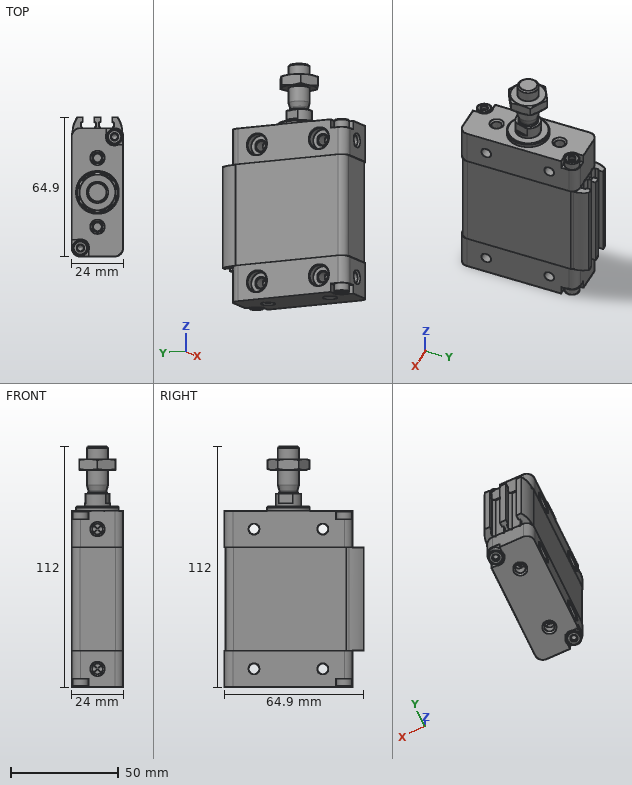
import cadquery as cq
import math


width = 24.0
cover_length = 59.8
cover_height = 17.0
barrel_height = 48.0
cover_corner = 4.0
barrel_inset = 0.6
barrel_corner = 3.7

rail_top = 35.0
rail_foot_half_width = 11.6
rail_foot_top = 28.0
rail_foot_bottom = 27.0
rail_crown_half_width = 9.3
rail_bulge_x = 11.0
rail_bulge_y = 31.8
lip_bottom = 32.8
lip_undercut = 0.8
lip_bevel = 0.5
slot_inner_x = 1.6
slot_outer_x = 6.8
slot_root_bevel = 1.3

hole_spacing = 32.0
hole_diameter = 4.9
counterbore_diameter = 9.7
counterbore_depth = 4.0
counterbore_bevel = 0.39
through_hole_bevel = 0.5
entry_diameter = 6.7
end_hole_overrun = 0.7
end_hole_floor_diameter = 4.0

screw_head_diameter = 7.2
screw_head_height = 4.0
screw_head_bevel = 0.6
screw_socket_diameter = 3.0
screw_socket_bevel = 0.28
screw_socket_depth = 2.0
screw_socket_point = 1.0
pocket_side = 7.8
pocket_diameter = 8.2

guide_diameter = 20.0
guide_height = 2.0
guide_bevel = 0.6

total_height = 112.0
rod_diameter = 12.0
thread_diameter = 10.0
thread_bevel = 0.8
taper_end_diameter = 8.6
neck_diameter = 8.5
shoulder_diameter = 9.4
shoulder_z = 90.0
neck_bottom_z = 90.7
neck_top_z = 91.3
taper_end_z = 91.7
thread_bottom_z = 94.1
flat_width = 10.0
flat_bottom_z = 85.6
flat_angle = -15.0

nut_width = 17.0
nut_height = 5.2
nut_bottom_z = 101.0
nut_bevel_diameter = 16.6
nut_bevel_angle = 20.0
nut_sides = 6

half_width = width / 2
half_length = cover_length / 2
barrel_end = half_length - barrel_inset
barrel_bottom_z = cover_height
barrel_top_z = barrel_bottom_z + barrel_height
hole_positions = (-hole_spacing / 2, hole_spacing / 2)
hole_radius = hole_diameter / 2
rod_radius = rod_diameter / 2


def cylinder(diameter, height, x=0, y=0, z=0):
    return cq.Workplane("XY", origin=(x, y, z)).circle(diameter / 2).extrude(height)


def tapered_hole(diameter, mouth_diameter, depth):
    """Cutter for a hole that starts at the origin and runs along -Z, with a 45 degree mouth."""
    radius = diameter / 2
    mouth = mouth_diameter / 2
    profile = [(0, 0), (mouth, 0), (radius, radius - mouth), (radius, -depth), (0, -depth)]
    return cq.Workplane("XZ").polyline(profile).close().revolve(360, (0, 0), (0, 1))


def mounting_hole(y):
    """Through hole along X at half the cover height, counterbored from the -X side."""
    counterbore = tapered_hole(
        counterbore_diameter, counterbore_diameter + 2 * counterbore_bevel, counterbore_depth
    )
    through = tapered_hole(
        hole_diameter, hole_diameter + 2 * through_hole_bevel, width - counterbore_depth
    ).translate((0, 0, -counterbore_depth))
    cutter = counterbore.union(through).rotate((0, 0, 0), (0, 1, 0), -90)
    return cutter.translate((-half_width, y, cover_height / 2))


def end_hole(y):
    """Hole from the end face that crosses a mounting hole and stops just past it."""
    depth = cover_height / 2 + hole_radius + end_hole_overrun
    hole = tapered_hole(hole_diameter, entry_diameter, depth)
    floor_bevel = (hole_diameter - end_hole_floor_diameter) / 2
    hole = hole.faces("<Z").chamfer(floor_bevel)
    return hole.translate((0, y, cover_height))


def port():
    """Air port from the -Y face into the nearer mounting hole."""
    hole = tapered_hole(hole_diameter, entry_diameter, half_length - hole_spacing / 2)
    hole = hole.rotate((0, 0, 0), (1, 0, 0), 90)
    return hole.translate((0, -half_length, cover_height / 2))


def screw_pocket(side):
    """Corner recess around a screw head; side is +1 or -1 along both X and Y."""
    bottom = cover_height - screw_head_height
    x = side * (half_width - cover_corner)
    y = side * (half_length - cover_corner)
    pocket = cylinder(pocket_diameter, screw_head_height, x, y, bottom)
    for size_x, size_y in ((pocket_side, cover_corner), (cover_corner, pocket_side)):
        opening = (
            cq.Workplane("XY", origin=(0, 0, bottom))
            .center(side * (half_width - size_x / 2), side * (half_length - size_y / 2))
            .rect(size_x, size_y)
            .extrude(screw_head_height)
        )
        pocket = pocket.union(opening)
    return pocket


def screw_head(side):
    """Socket head standing on the pocket floor, with a bevelled, conical-floored socket."""
    x = side * (half_width - cover_corner)
    y = side * (half_length - cover_corner)
    socket_radius = screw_socket_diameter / 2
    head = cylinder(screw_head_diameter, screw_head_height)
    head = head.faces(">Z").chamfer(screw_head_bevel)
    profile = [
        (0, 0),
        (socket_radius + screw_socket_bevel, 0),
        (socket_radius, -screw_socket_bevel),
        (socket_radius, -screw_socket_depth),
        (0, -screw_socket_depth - screw_socket_point),
    ]
    socket = cq.Workplane("XZ").polyline(profile).close().revolve(360, (0, 0), (0, 1))
    head = head.cut(socket.translate((0, 0, screw_head_height)))
    return head.translate((x, y, cover_height - screw_head_height))


def cover():
    """Cover with its inner face on Z = 0 and its end face up."""
    body = cq.Workplane("XY").rect(width, cover_length).extrude(cover_height)
    body = body.edges("|Z").fillet(cover_corner)
    for y in hole_positions:
        body = body.cut(mounting_hole(y)).cut(end_hole(y))
    body = body.cut(port())
    for side in (-1, 1):
        body = body.cut(screw_pocket(side)).union(screw_head(side))
    return body


def make_front_cover():
    guide = cylinder(guide_diameter, guide_height, z=cover_height)
    guide = guide.faces(">Z").chamfer(guide_bevel)
    bore = cylinder(rod_diameter, cover_height + guide_height)
    return cover().union(guide).cut(bore).translate((0, 0, barrel_top_z))


def make_rear_cover():
    return cover().mirror("XY").translate((0, 0, cover_height))


def sensor_slot():
    """Cutter for the T-slot on the +X side, open at the rail top."""
    near = slot_inner_x - lip_undercut
    far = slot_outer_x + lip_undercut
    return (
        cq.Workplane("XY")
        .moveTo(slot_inner_x, rail_top)
        .lineTo(slot_inner_x, lip_bottom)
        .lineTo(near, lip_bottom - lip_bevel)
        .lineTo(near, barrel_end + slot_root_bevel)
        .lineTo(near + slot_root_bevel, barrel_end)
        .lineTo(far - slot_root_bevel, barrel_end)
        .lineTo(far, barrel_end + slot_root_bevel)
        .lineTo(far, lip_bottom - lip_bevel)
        .lineTo(slot_outer_x, lip_bottom)
        .lineTo(slot_outer_x, rail_top)
        .close()
        .extrude(barrel_height)
    )


def make_barrel():
    corner_mid = barrel_corner * (1 - math.sqrt(0.5))
    body = (
        cq.Workplane("XY")
        .moveTo(0, -barrel_end)
        .lineTo(half_width - barrel_corner, -barrel_end)
        .threePointArc(
            (half_width - corner_mid, -barrel_end + corner_mid),
            (half_width, -barrel_end + barrel_corner),
        )
        .lineTo(half_width, rail_foot_bottom)
        .lineTo(rail_foot_half_width, rail_foot_top)
        .threePointArc((rail_bulge_x, rail_bulge_y), (rail_crown_half_width, rail_top))
        .lineTo(0, rail_top)
        .mirrorY()
        .extrude(barrel_height)
    )
    slot = sensor_slot()
    body = body.cut(slot).cut(slot.mirror("YZ"))
    return body.translate((0, 0, barrel_bottom_z))


def make_rod():
    thread_radius = thread_diameter / 2
    neck_radius = neck_diameter / 2
    body = (
        cq.Workplane("XZ")
        .moveTo(0, barrel_top_z)
        .lineTo(rod_radius, barrel_top_z)
        .lineTo(rod_radius, shoulder_z)
        .lineTo(shoulder_diameter / 2, shoulder_z)
        .lineTo(neck_radius, neck_bottom_z)
        .lineTo(neck_radius, neck_top_z)
        .lineTo(taper_end_diameter / 2, taper_end_z)
        .lineTo(thread_radius, thread_bottom_z)
        .lineTo(thread_radius, total_height - thread_bevel)
        .lineTo(thread_radius - thread_bevel, total_height)
        .lineTo(0, total_height)
        .close()
        .revolve(360, (0, 0), (0, 1))
    )
    flat_height = shoulder_z - flat_bottom_z
    sleeve = cylinder(rod_diameter, flat_height, z=flat_bottom_z)
    core = (
        cq.Workplane("XY", origin=(0, 0, flat_bottom_z))
        .rect(flat_width, 2 * rod_diameter)
        .extrude(flat_height)
        .rotate((0, 0, 0), (0, 0, 1), flat_angle)
    )
    return body.cut(sleeve.cut(core))


def make_nut():
    """Hexagon nut with two flats facing +X and -X, rounded off at both ends."""
    half_side_angle = 180 / nut_sides
    corner_radius = nut_width / 2 / math.cos(math.radians(half_side_angle))
    face_radius = nut_bevel_diameter / 2
    drop = (corner_radius - face_radius) * math.tan(math.radians(nut_bevel_angle))
    hexagon = (
        cq.Workplane("XY")
        .polygon(nut_sides, 2 * corner_radius)
        .extrude(nut_height)
        .rotate((0, 0, 0), (0, 0, 1), half_side_angle)
    )
    envelope = (
        cq.Workplane("XZ")
        .polyline([
            (0, 0),
            (face_radius, 0),
            (corner_radius, drop),
            (corner_radius, nut_height - drop),
            (face_radius, nut_height),
            (0, nut_height),
        ])
        .close()
        .revolve(360, (0, 0), (0, 1))
    )
    body = hexagon.intersect(envelope).cut(cylinder(thread_diameter, nut_height))
    return body.translate((0, 0, nut_bottom_z))


front_cover = make_front_cover()
rear_cover = make_rear_cover()
barrel = make_barrel()
rod = make_rod()
nut = make_nut()

result = cq.Compound.makeCompound(
    [front_cover.val(), rear_cover.val(), barrel.val(), rod.val(), nut.val()]
)